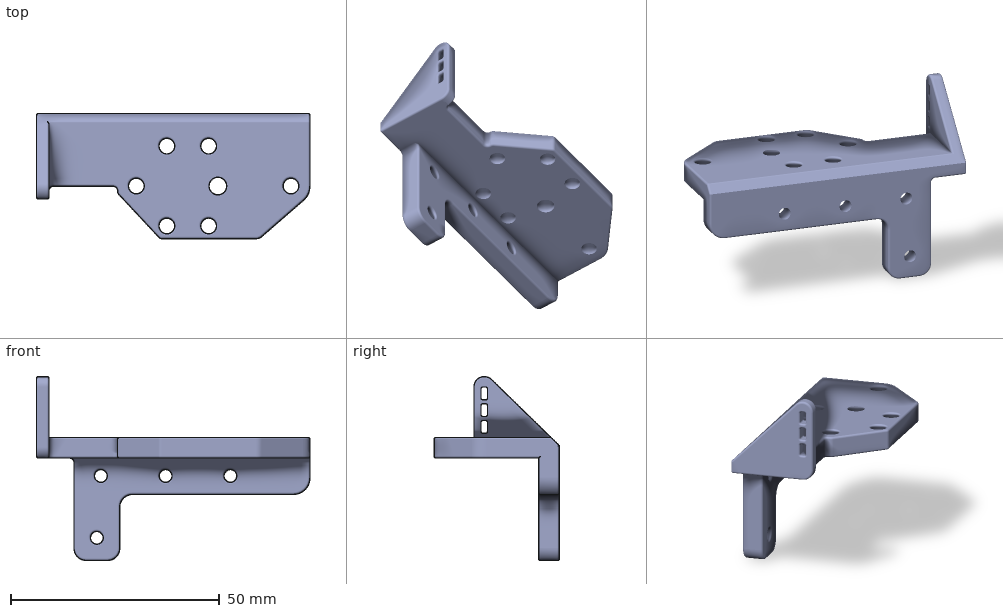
import cadquery as cq
import math


length = 65.45
depth = 30.02
flange_bottom = -24.5
wall_top = 19.55

edge_round = 0.5
corner_round = 1.0

plate_thickness = 5.0
rear_height = 3.0
shelf_front = -17.5
notch_x = 19.4
notch_y = -19.1
front_left_x = 29.6
front_right_round = 2.0
right_slant = math.radians(41)

plate_hole_diameter = 3.7
centre_hole_diameter = 4.16
centre_hole_x = 43.4
hole_row_y = -17.4
hole_row_pitch = 9.55
left_hole_x = 23.9
right_hole_x = 60.9
pair_hole_xs = (31.2, 41.2)

wall_thickness = 3.0
wall_front = -20.5
wall_round = 2.5

slot_width = 1.5
slot_height = 3.0
slot_round = 0.4
slot_rim_round = 0.4
slot_pitch = 4.0
slot_y = wall_front + wall_round
lowest_slot_z = 7.5
slot_count = 3

flange_thickness = 5.0
tab_left = 8.95
tab_width = 11.0
tab_round = 3.0
arm_bottom = -8.7
arm_end_round = 4.0
flange_root = 2.0

flange_hole_diameter = 3.0
arm_hole_x = 15.4
arm_hole_pitch = 15.5
arm_hole_count = 3
arm_hole_z = -4.25
tab_hole_z = -19.05

wall_round_y = wall_front + wall_round
wall_round_z = wall_top - wall_round
round_rise = wall_round_z - rear_height
slope_angle = math.atan2(round_rise, -wall_round_y) + math.asin(
    wall_round / math.hypot(wall_round_y, round_rise)
)

margin = 0.01

plate_left = wall_thickness / 2


def box_between(low, high):
    """Selector for everything centred between two corner points."""
    return cq.selectors.BoxSelector(low, high)


def round_corner(body, x, y, radius):
    """Round the upright plate edge that passes through (x, y)."""
    corner = box_between((x - margin, y - margin, 0), (x + margin, y + margin, plate_thickness))
    return body.edges(corner).edges("|Z").fillet(radius)


def rounded_hole_cutters(plane, points, diameter, hole_depth):
    """Cutters sunk from the plane, each flaring in a quarter round at the surface."""
    radius = diameter / 2
    profile = (
        cq.Workplane("XZ")
        .lineTo(radius + edge_round, 0)
        .radiusArc((radius, -edge_round), -edge_round)
        .lineTo(radius, -hole_depth)
        .lineTo(0, -hole_depth)
        .close()
    )
    cutter = profile.revolve(360, (0, 0), (0, 1)).val()
    return plane.pushPoints(points).eachpoint(lambda place: cutter.moved(place), True).combine()


def make_plate():
    end_radius = length - right_hole_x
    slant_start_x = right_hole_x + end_radius * math.sin(right_slant)
    slant_start_y = hole_row_y - end_radius * math.cos(right_slant)
    front_right_x = slant_start_x - (slant_start_y + depth) / math.tan(right_slant)
    half_sweep = (math.pi / 2 - right_slant) / 2
    arc_middle = (
        right_hole_x + end_radius * math.cos(half_sweep),
        hole_row_y - end_radius * math.sin(half_sweep),
    )
    plate = (
        cq.Workplane("XY")
        .moveTo(plate_left, 0)
        .lineTo(length, 0)
        .lineTo(length, hole_row_y)
        .threePointArc(arc_middle, (slant_start_x, slant_start_y))
        .lineTo(front_right_x, -depth)
        .lineTo(front_left_x, -depth)
        .lineTo(notch_x, notch_y)
        .lineTo(notch_x, shelf_front)
        .lineTo(wall_thickness + corner_round, shelf_front)
        .radiusArc((wall_thickness, shelf_front - corner_round), -corner_round)
        .lineTo(plate_left, shelf_front - corner_round)
        .close()
        .extrude(plate_thickness)
    )

    plate = round_corner(plate, front_right_x, -depth, front_right_round)
    plate = round_corner(plate, front_left_x, -depth, corner_round)
    plate = round_corner(plate, notch_x, notch_y, corner_round)
    plate = round_corner(plate, notch_x, shelf_front, corner_round)

    slope_run = (plate_thickness - rear_height) / math.tan(slope_angle)
    rear_wedge = (
        cq.Workplane("YZ")
        .moveTo(0, rear_height)
        .lineTo(0, plate_thickness)
        .lineTo(-slope_run, plate_thickness)
        .close()
        .extrude(length)
    )
    plate = plate.cut(rear_wedge)

    past_right = length + margin
    exposed = box_between(
        (wall_thickness - margin, -depth - margin, -margin),
        (past_right, margin, plate_thickness + margin),
    )
    front_uprights = box_between(
        (0, -depth - margin, plate_thickness / 2 - margin),
        (past_right, -slope_run - margin, plate_thickness / 2 + margin),
    )
    rear_crest = box_between((0, -margin, rear_height - margin), (length, margin, rear_height + margin))
    plate = plate.edges(exposed - front_uprights - rear_crest).fillet(edge_round)

    rimmed_holes = [(left_hole_x, hole_row_y), (right_hole_x, hole_row_y)]
    for x in pair_hole_xs:
        for side in (-1, 1):
            rimmed_holes.append((x, hole_row_y + side * hole_row_pitch))
    top_plane = cq.Workplane("XY", origin=(0, 0, plate_thickness))
    plate = plate.cut(rounded_hole_cutters(top_plane, rimmed_holes, plate_hole_diameter, plate_thickness))
    centre_hole = (
        cq.Workplane("XY")
        .center(centre_hole_x, hole_row_y)
        .circle(centre_hole_diameter / 2)
        .extrude(plate_thickness)
    )
    return plate.cut(centre_hole)


def make_wall():
    tangent_y = wall_round_y + wall_round * math.sin(slope_angle)
    tangent_z = wall_round_z + wall_round * math.cos(slope_angle)
    half_sweep = (math.pi / 2 - slope_angle) / 2
    top_middle = (
        wall_round_y - wall_round * math.sin(half_sweep),
        wall_round_z + wall_round * math.cos(half_sweep),
    )
    wall = (
        cq.Workplane("YZ")
        .moveTo(0, 0)
        .lineTo(0, rear_height)
        .lineTo(tangent_y, tangent_z)
        .threePointArc(top_middle, (wall_front, wall_round_z))
        .lineTo(wall_front, wall_round)
        .radiusArc((wall_front + wall_round, 0), -wall_round)
        .close()
        .extrude(wall_thickness)
    )
    rear_bottom = box_between((0, -margin, -margin), (wall_thickness, margin, margin))
    wall = wall.edges(rear_bottom).fillet(edge_round)
    wall = wall.faces("<X or >X").edges().fillet(edge_round)
    for index in range(slot_count):
        wall = cut_slot(wall, lowest_slot_z + index * slot_pitch)
    return wall


def cut_slot(wall, z):
    """Cut one slot through the wall and round its rim on the left face."""
    slot = (
        cq.Workplane("YZ")
        .center(slot_y, z)
        .rect(slot_width, slot_height)
        .extrude(wall_thickness)
        .edges("|X")
        .fillet(slot_round)
    )
    rim = box_between(
        (-margin, slot_y - slot_width / 2 - margin, z - slot_height / 2 - margin),
        (margin, slot_y + slot_width / 2 + margin, z + slot_height / 2 + margin),
    )
    return wall.cut(slot).edges(rim).fillet(slot_rim_round)


def make_flange():
    tab_right = tab_left + tab_width
    flange = (
        cq.Workplane("XZ")
        .moveTo(tab_left - corner_round, flange_root)
        .lineTo(tab_left - corner_round, 0)
        .radiusArc((tab_left, -corner_round), corner_round)
        .lineTo(tab_left, flange_bottom + tab_round)
        .radiusArc((tab_left + tab_round, flange_bottom), -tab_round)
        .lineTo(tab_right - tab_round, flange_bottom)
        .radiusArc((tab_right, flange_bottom + tab_round), -tab_round)
        .lineTo(tab_right, arm_bottom - tab_round)
        .radiusArc((tab_right + tab_round, arm_bottom), tab_round)
        .lineTo(length - arm_end_round, arm_bottom)
        .radiusArc((length, arm_bottom + arm_end_round), -arm_end_round)
        .lineTo(length, flange_root)
        .close()
        .extrude(flange_thickness)
    )
    outline = box_between(
        (tab_left - corner_round + margin, -depth, flange_bottom - margin),
        (length + margin, margin, flange_root - margin),
    )
    flange = flange.faces("<Y or >Y").edges(outline).fillet(edge_round)

    holes = [(tab_left + tab_width / 2, tab_hole_z)]
    for index in range(arm_hole_count):
        holes.append((arm_hole_x + index * arm_hole_pitch, arm_hole_z))
    front_plane = cq.Workplane("XZ", origin=(0, -flange_thickness, 0))
    return flange.cut(rounded_hole_cutters(front_plane, holes, flange_hole_diameter, flange_thickness))


result = make_plate().union(make_wall()).union(make_flange())